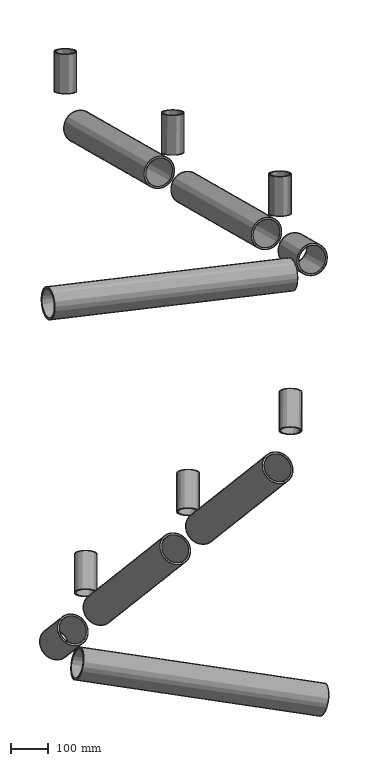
import cadquery as cq


run_diameter = 88.9
run_wall = 5.49
branch_diameter = 60.3
branch_wall = 3.91

tee_run_reach = 85.7
tee_branch_reach = 76.2
elbow_reach = 114.3

tee_count = 3
tee_pitch = 685.0
end_spool_length = 120.0
branch_top = 185.0
return_leg_end = 823.0

tee_positions = [i * tee_pitch for i in range(tee_count)]
run_spool_length = tee_pitch - 2 * tee_run_reach
branch_length = branch_top - tee_branch_reach
return_leg_length = return_leg_end - elbow_reach
elbow_x = tee_positions[-1] + tee_run_reach + end_spool_length + elbow_reach


def pipe(start, direction, diameter, wall, length):
    """Open pipe from start along direction."""
    end_plane = cq.Plane(origin=start, normal=direction)
    outer_radius = diameter / 2
    return (
        cq.Workplane(end_plane)
        .circle(outer_radius)
        .circle(outer_radius - wall)
        .extrude(length)
    )


def branch_pipe(tee_x):
    """Short vertical pipe above a tee."""
    start = (tee_x, 0, tee_branch_reach)
    return pipe(start, (0, 0, 1), branch_diameter, branch_wall, branch_length)


def run_pipe(tee_x, length):
    """Pipe of the main run, starting at the outlet of the tee at tee_x."""
    start = (tee_x + tee_run_reach, 0, 0)
    return pipe(start, (1, 0, 0), run_diameter, run_wall, length)


def return_leg():
    """Long pipe leaving the elbow toward -Y."""
    start = (elbow_x, -elbow_reach, 0)
    return pipe(start, (0, -1, 0), run_diameter, run_wall, return_leg_length)


branches = [branch_pipe(tee_x) for tee_x in tee_positions]
run_spools = [run_pipe(tee_x, run_spool_length) for tee_x in tee_positions[:-1]]
end_spool = run_pipe(tee_positions[-1], end_spool_length)
elbow_leg = return_leg()

bodies = [*branches, *run_spools, end_spool, elbow_leg]
result = cq.Compound.makeCompound([body.val() for body in bodies])